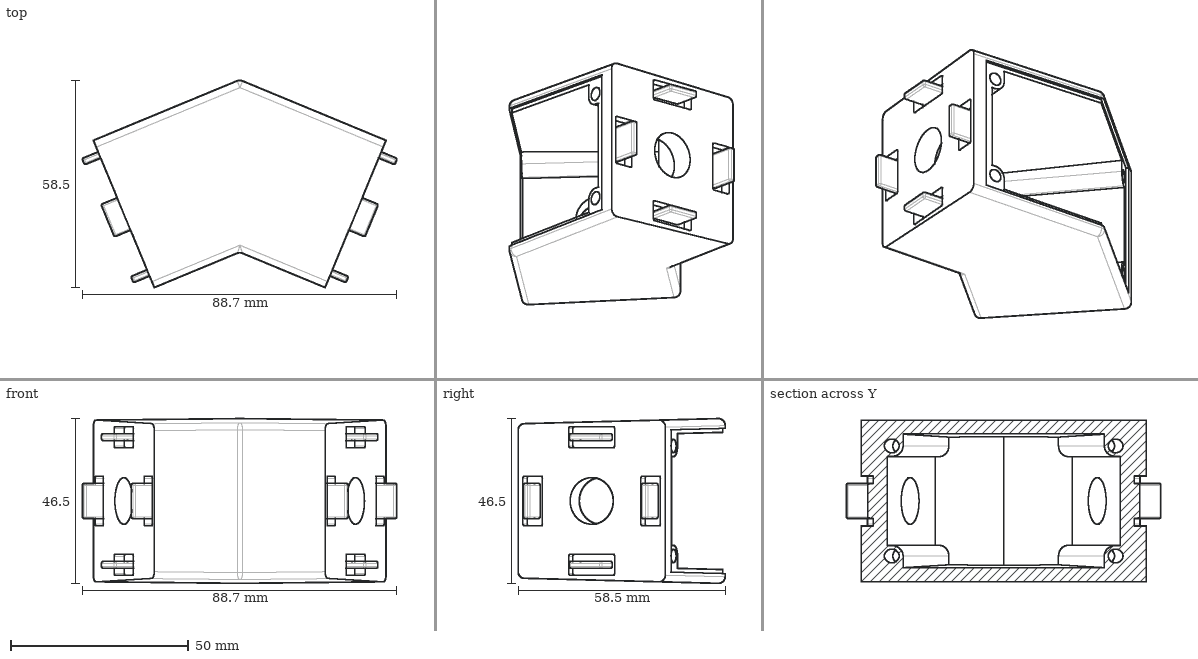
import cadquery as cq
import math

overall_width = 88.7

arm_tilt = 22.5
arm_length = 44.7
arm_width = 44.95
apex_height = 46.6
draft = 1.5
edge_radius = 1.95

end_wall = 6.8
inner_wall = 4.0
roof_wall = 4.0

seat_depth = 0.8
seat_end_rim = 4.35
seat_roof_rim = 2.8

screw_from_end = 8.0
screw_height = 15.5
screw_radius = 1.9
screw_depth = 10.6
pillar_radius = 3.0

cable_radius = 6.6
tab_circle_radius = 18.0
tab_count = 4
pocket_length = 14.0
pocket_width = 5.9
pocket_depth = 3.1
pocket_radius = 0.5
tab_length = 9.9
tab_thickness = 1.95
tab_radius = 0.5

clearance = 4.4

tilt_cos = math.cos(math.radians(arm_tilt))
tilt_sin = math.sin(math.radians(arm_tilt))
draft_slope = math.tan(math.radians(draft))

tip_inward = arm_width / 2 - tab_circle_radius - tab_thickness / 2 + tab_radius
tip_along = (overall_width / 2 - tab_radius + tip_inward * tilt_sin) / tilt_cos
tab_reach = tip_along + tab_radius - arm_length


def arm_point(along, inward):
    """Point on the right arm: distance from the apex along the outer wall, then inward from it."""
    return (along * tilt_cos - inward * tilt_sin, -along * tilt_sin - inward * tilt_cos)


def elbow(end=0.0, outer=0.0, inner=0.0, roof=0.0):
    """Drafted elbow block with its walls moved inward by the given amounts."""
    inner_line = arm_width - inner
    right = [arm_point(arm_length - end, outer), arm_point(arm_length - end, inner_line)]
    left = [(-x, y) for x, y in reversed(right)]
    outline = [(0, -outer / tilt_cos)] + right + [(0, -inner_line / tilt_cos)] + left
    plan = cq.Workplane("XY").polyline(outline).close().extrude(apex_height, both=True)

    half_height = apex_height / 2 - roof
    back = 2 * clearance
    front = -2 * arm_width
    back_half = half_height + back * draft_slope
    front_half = half_height + front * draft_slope
    side = [(back, -back_half), (back, back_half), (front, front_half), (front, -front_half)]
    wedge = cq.Workplane("YZ").polyline(side).close().extrude(2 * arm_length, both=True)
    return plan.intersect(wedge)


def both_arms(right_feature):
    """A right-arm feature together with its mirror image on the left arm."""
    return right_feature.union(right_feature.mirror("YZ"))


def outer_wall_plane(depth):
    """Plane parallel to the right outer wall, X along the arm from the apex, normal pointing inward."""
    return cq.Plane(
        origin=(*arm_point(0, depth), 0),
        xDir=(tilt_cos, -tilt_sin, 0),
        normal=(-tilt_sin, -tilt_cos, 0),
    )


def end_face_plane(depth=0.0):
    """Plane parallel to the right end face, at its centre, normal pointing outward."""
    return cq.Plane(
        origin=(*arm_point(arm_length - depth, arm_width / 2), 0),
        xDir=(tilt_sin, tilt_cos, 0),
        normal=(tilt_cos, -tilt_sin, 0),
    )


def rounded_body():
    """Elbow with its long edges rounded first, then the mitre edges, leaving the end face outlines sharp."""
    block = elbow()
    end_edges = []
    for side in (1, -1):
        outward = cq.Vector(side * tilt_cos, -tilt_sin, 0)
        end_edges += block.faces(cq.selectors.DirectionMinMaxSelector(outward)).edges().vals()
    long_edges = [edge for edge in block.edges("not |Z").vals() if edge not in end_edges]
    rounded = block.newObject(long_edges).fillet(edge_radius)
    mitre_edges = [edge for edge in rounded.edges("|Z").vals() if abs(edge.Center().x) < edge_radius]
    return rounded.newObject(mitre_edges).fillet(edge_radius)


def screw_pillars():
    """Right-arm corner pillars with one rounded edge, from the cover seat to the inner wall."""
    near_end = arm_length - seat_end_rim
    near_mitre = arm_length - screw_from_end - pillar_radius
    top = apex_height / 2 - seat_roof_rim
    bottom = screw_height - pillar_radius
    pillar = (
        cq.Workplane(outer_wall_plane(seat_depth))
        .moveTo(near_end, bottom)
        .lineTo(near_end, top)
        .lineTo(near_mitre, top)
        .lineTo(near_mitre, screw_height)
        .radiusArc((near_mitre + pillar_radius, bottom), -pillar_radius)
        .close()
        .extrude(arm_width - inner_wall - seat_depth)
    )
    return pillar.union(pillar.mirror("XY"))


def screw_holes():
    """Right-arm blind holes in the pillars."""
    place = arm_length - screw_from_end
    return (
        cq.Workplane(outer_wall_plane(seat_depth))
        .pushPoints([(place, screw_height), (place, -screw_height)])
        .circle(screw_radius)
        .extrude(screw_depth)
    )


def cable_hole():
    """Right-arm hole through the end wall."""
    return (
        cq.Workplane(end_face_plane(end_wall + clearance))
        .circle(cable_radius)
        .extrude(end_wall + 2 * clearance)
    )


def around_end_face(depth):
    """Right end face workplane, sunk by depth, with a spot for each tab."""
    return cq.Workplane(end_face_plane(depth)).polarArray(tab_circle_radius, 0, 360, tab_count)


def pockets():
    """Right-arm pockets around the tabs, corners rounded."""
    return (
        around_end_face(pocket_depth)
        .rect(pocket_width, pocket_length)
        .extrude(pocket_depth + clearance)
        .edges(cq.selectors.ParallelDirSelector(end_face_plane().zDir))
        .fillet(pocket_radius)
    )


def tabs():
    """Right-arm tabs rooted below the pocket floors, edges rounded."""
    root_depth = pocket_depth + tab_thickness / 2
    return (
        around_end_face(root_depth)
        .rect(tab_thickness, tab_length)
        .extrude(root_depth + tab_reach)
        .edges()
        .fillet(tab_radius)
    )


cavity = elbow(end=end_wall, outer=-clearance, inner=inner_wall, roof=roof_wall)
seat = elbow(end=seat_end_rim, outer=-clearance, inner=arm_width - seat_depth, roof=seat_roof_rim)

result = (
    rounded_body()
    .cut(cavity)
    .cut(seat)
    .union(both_arms(screw_pillars()))
    .cut(both_arms(screw_holes()))
    .cut(both_arms(cable_hole()))
    .cut(both_arms(pockets()))
    .union(both_arms(tabs()))
)